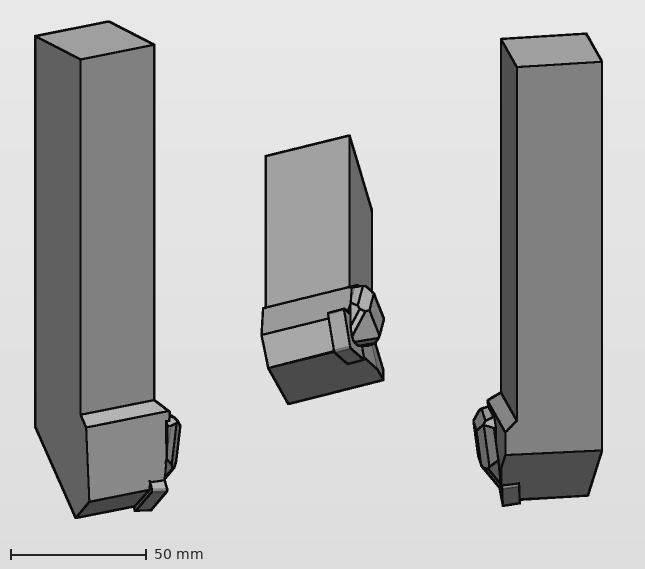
import cadquery as cq
import math

top_z = 181.59

shank_width = 31.75
shank_depth = 32.0

neck_z = 43.5
shoulder_x = 35.6
head_depth = 36.3
cheek_x = 37.85
cheek_z = 11.4
point_x = 28.3
point_z = 2.3
flank_top_z = 29.8
flank_relief = 0.4

insert_size = 15.875
insert_thickness = 6.35
insert_corner_radius = 0.8
insert_turn = 45
insert_center_x = 29.51
insert_center_z = 10.8
insert_top_y = 33.1

rake_slope = 0.13
side_slope = 0.08

clamp_height = 6.3
clamp_foot_left = -10.9
clamp_foot_right = 7.7
clamp_shoulder_left = -9.6
clamp_shoulder_left_height = 3.5
clamp_shoulder_right = 6.9
clamp_shoulder_right_height = 2.8
clamp_top_left = -7.3
clamp_top_right = 3.8
clamp_nose_y = -3.8
clamp_nose_left = -3.0
clamp_nose_right = 2.5
clamp_bend_y = 8.8
clamp_taper_y = 11.0
clamp_top_end_y = 22.5
clamp_end_bevel_y = 26.2
clamp_end_bevel_height = 2.6
clamp_end_y = 26.8
clamp_end_corner = 3.0
clamp_nose_bevel = 1.5
clamp_root_depth = 1.5

rake_plane = cq.Plane(
    origin=(insert_center_x, insert_top_y, insert_center_z),
    xDir=(1, -side_slope, 0),
    normal=(-side_slope, -1, rake_slope),
)


def make_shank():
    shank = cq.Workplane("XY", origin=(0, 0, neck_z)).rect(shank_width, shank_depth, centered=False)
    return shank.extrude(top_z - neck_z)


def make_head():
    """Pointed block whose right and back sides slope in to the shank at the neck."""
    shoulder_z = neck_z - (shoulder_x - shank_width)
    outline = [
        (0, flank_top_z),
        (point_x, point_z),
        (cheek_x, cheek_z),
        (shoulder_x, shoulder_z),
        (shank_width, neck_z),
        (0, neck_z),
    ]
    block = cq.Workplane("XZ").polyline(outline).close().extrude(-head_depth)
    back_step = head_depth - shank_depth
    back_bevel = (
        cq.Workplane("YZ")
        .polyline([(shank_depth, neck_z), (head_depth, neck_z), (head_depth, neck_z - back_step)])
        .close()
        .extrude(cheek_x)
    )
    return block.cut(back_bevel).cut(make_flank_relief())


def make_flank_relief():
    """Thin wedge that leans the lower left flank inwards towards the back of the head."""
    flank_drop = flank_top_z - point_z
    flank_length = math.hypot(point_x, flank_drop)
    flank_plane = cq.Plane(
        origin=(0, 0, flank_top_z), xDir=(0, 1, 0), normal=(point_x, 0, -flank_drop)
    )
    wedge = [(0, 0), (head_depth, 0), (head_depth, flank_relief)]
    return cq.Workplane(flank_plane).polyline(wedge).close().extrude(flank_length, both=True)


def make_rake_clearance():
    """Space behind the rake plane, removed from the head."""
    span = 4 * neck_z
    return cq.Workplane(rake_plane).rect(span, span).extrude(-neck_z)


def make_clamp():
    """Bar with bevelled sides, a tapered sloping nose and a bevelled rear end."""
    side_outline = [
        (clamp_nose_y, 0),
        (clamp_bend_y, clamp_height),
        (clamp_top_end_y, clamp_height),
        (clamp_end_bevel_y, clamp_end_bevel_height),
        (clamp_end_y, 0),
        (clamp_end_y, -clamp_root_depth),
        (clamp_taper_y, 0),
    ]
    cross_section = [
        (clamp_foot_left, -clamp_root_depth),
        (clamp_foot_left, 0),
        (clamp_shoulder_left, clamp_shoulder_left_height),
        (clamp_top_left, clamp_height),
        (clamp_top_right, clamp_height),
        (clamp_shoulder_right, clamp_shoulder_right_height),
        (clamp_foot_right, 0),
        (clamp_foot_right, -clamp_root_depth),
    ]
    plan_outline = [
        (clamp_nose_left, clamp_nose_y),
        (clamp_nose_right, clamp_nose_y),
        (clamp_foot_right, clamp_taper_y),
        (clamp_foot_right, clamp_end_y - clamp_end_corner),
        (clamp_foot_right - clamp_end_corner, clamp_end_y),
        (clamp_foot_left + clamp_end_corner, clamp_end_y),
        (clamp_foot_left, clamp_end_y - clamp_end_corner),
        (clamp_foot_left, clamp_taper_y),
    ]
    side_plane = cq.Plane(rake_plane.origin, xDir=rake_plane.yDir, normal=-rake_plane.xDir)
    section_plane = cq.Plane(rake_plane.origin, xDir=rake_plane.xDir, normal=rake_plane.yDir)
    reach = clamp_end_y
    side = cq.Workplane(side_plane).polyline(side_outline).close().extrude(reach, both=True)
    section = cq.Workplane(section_plane).polyline(cross_section).close().extrude(reach, both=True)
    plan = cq.Workplane(rake_plane).polyline(plan_outline).close().extrude(reach, both=True)
    bar = side.intersect(plan)
    middle_y = (clamp_nose_y + clamp_bend_y) / 2
    for nose_x, foot_x in ((clamp_nose_left, clamp_foot_left), (clamp_nose_right, clamp_foot_right)):
        middle = rake_plane.toWorldCoords(((nose_x + foot_x) / 2, middle_y, -clamp_height / 2))
        bar = bar.edges(cq.selectors.NearestToPointSelector(middle)).chamfer(clamp_nose_bevel)
    return bar.intersect(section)


def make_insert():
    return (
        cq.Workplane(rake_plane)
        .transformed(rotate=(0, 0, insert_turn))
        .rect(insert_size, insert_size)
        .extrude(insert_thickness)
        .edges(cq.selectors.ParallelDirSelector(rake_plane.zDir))
        .fillet(insert_corner_radius)
    )


insert = make_insert()
head = make_head().cut(make_rake_clearance())
holder = make_shank().union(head).union(make_clamp())
holder = holder.cut(insert)

result = cq.Compound.makeCompound([holder.solids().val(), insert.solids().val()])